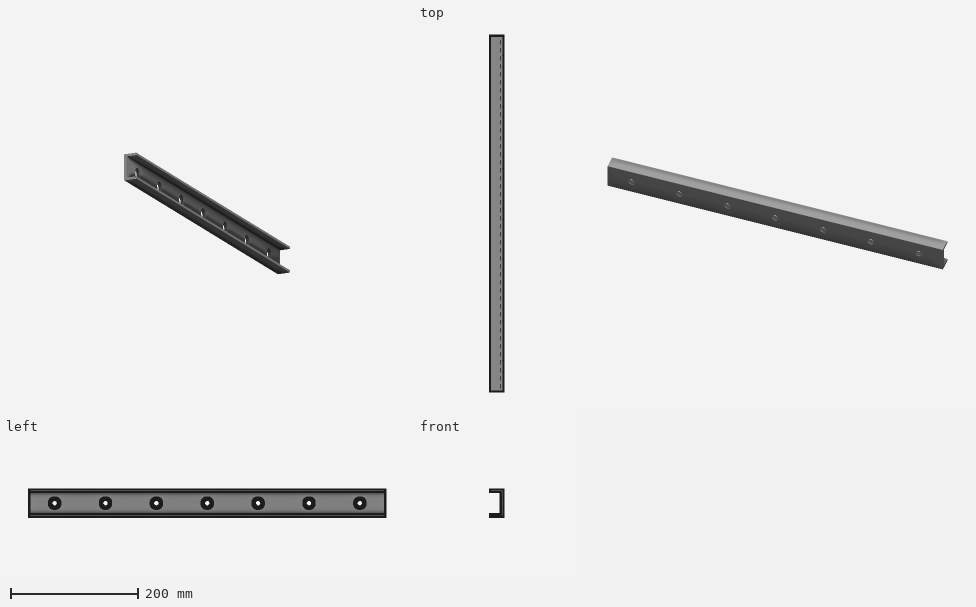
import cadquery as cq

length = 560.0
width = 21.0
height = 43.0
web_thickness = 4.5
flange_thickness = 4.2
edge_radius = 0.5
root_radius = 0.5

hole_count = 7
hole_pitch = length / hole_count
hole_diameter = 10.5
counterbore_diameter = 18.0
counterbore_depth = 3.5

web_face_x = width / 2 - web_thickness


def channel():
    """U-shaped rail centred on the origin, with rounded inner corners and long outer edges."""
    cavity_width = width - web_thickness
    cavity_height = height - 2 * flange_thickness
    body = cq.Workplane("XY").box(width, length, height)
    cavity = cq.Workplane("XY").box(cavity_width, length, cavity_height)
    cavity = cavity.edges("|Y and >X").fillet(root_radius)
    rail = body.cut(cavity.translate((-web_thickness / 2, 0, 0)))
    return rail.edges("|Y and (<X or >X)").fillet(edge_radius)


def drill_mounting_holes(rail):
    """Row of holes through the web, counterbored on its inner face."""
    inner_face = cq.Plane(origin=(web_face_x, 0, 0), xDir=(0, -1, 0), normal=(-1, 0, 0))
    return (
        rail.copyWorkplane(cq.Workplane(inner_face))
        .rarray(hole_pitch, 5.5, hole_count, 1)
        .cboreHole(hole_diameter, counterbore_diameter, counterbore_depth)
    )


result = drill_mounting_holes(channel())